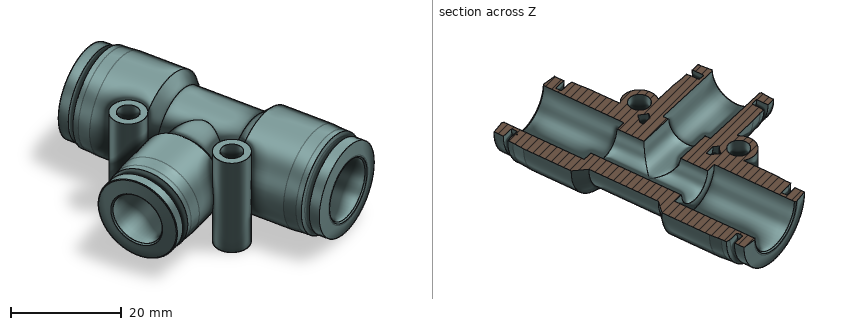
import cadquery as cq


bore_radius = 4.05
mouth_chamfer = 0.3
end_face_rise = 0.15

run_tip = 28.05
run_rim = 27.7
run_collar_back = 25.6
run_body_end = 24.4
run_band_start = 23.1
run_taper_start = 20.6
run_shoulder = 10.05
run_waist_end = 7.7
run_radius = 10.24
run_end_radius = 10.05
run_face_radius = 9.15
run_waist_radius = 8.0
run_collar_radius = 9.5
run_neck_radius = 6.95
run_socket_radius = 6.15
run_lip_width = 0.3
run_mouth_radius = run_socket_radius + mouth_chamfer + run_lip_width

branch_tip = 27.405
branch_rim = 27.15
branch_collar_back = 25.25
branch_body_end = 23.9
branch_band_start = 22.55
branch_taper_start = 20.0
branch_shoulder = 11.8
branch_waist_end = 10.05
branch_radius = 8.75
branch_end_radius = 8.6
branch_face_radius = 7.4
branch_waist_radius = 7.0
branch_collar_radius = 8.4
branch_rim_bevel_width = 0.15
branch_rim_bevel_height = 0.1
branch_neck_radius = 5.9
branch_socket_radius = 5.2
branch_mouth_radius = branch_socket_radius + mouth_chamfer

sleeve_x = 11.0
sleeve_y = -12.45
sleeve_radius = 3.55
sleeve_hole_radius = 2.15
sleeve_height = 2 * run_radius


def revolve_about_y(points):
    """Revolve a (radius, distance) outline about Y; distance runs toward -Y."""
    outline = [(radius, -distance) for radius, distance in points]
    return cq.Workplane("XY").polyline(outline).close().revolve(360, (0, 0), (0, 1))


def port_body(tip, rim, collar_back, body_end, band_start, taper_start, shoulder,
              waist_end, radius, end_radius, face_radius, waist_radius, collar_radius, neck_radius,
              mouth_radius, bevel_width=0, bevel_height=0):
    """Solid port: waist, shoulder cone, body with a tapered end,
    conical end face, neck and release collar.
    """
    collar_edge = [(collar_radius, rim - bevel_height)]
    if bevel_width > 0:
        collar_edge.append((collar_radius - bevel_width, rim))
    return revolve_about_y([
        (0, 0),
        (waist_radius, 0),
        (waist_radius, waist_end),
        (radius, shoulder),
        (radius, taper_start),
        (end_radius, band_start),
        (end_radius, body_end - end_face_rise),
        (face_radius, body_end),
        (neck_radius, body_end),
        (neck_radius, collar_back),
        (collar_radius, collar_back),
        *collar_edge,
        (mouth_radius, tip),
        (0, tip),
    ])


def port_cavity(tip, shoulder, socket_radius):
    """Bore from the tee centre, widening to a tube socket with a chamfered mouth."""
    return revolve_about_y([
        (0, 0),
        (bore_radius, 0),
        (bore_radius, shoulder),
        (socket_radius, shoulder),
        (socket_radius, tip - mouth_chamfer),
        (socket_radius + mouth_chamfer, tip),
        (0, tip),
    ])


def turn_to_run(port, side):
    """Turn a -Y port to +X (side = 1) or -X (side = -1)."""
    return port.rotate((0, 0, 0), (0, 0, 1), side * 90)


run_body = port_body(
    run_tip, run_rim, run_collar_back, run_body_end, run_band_start, run_taper_start,
    run_shoulder, run_waist_end, run_radius, run_end_radius, run_face_radius, run_waist_radius,
    run_collar_radius, run_neck_radius, run_mouth_radius,
)
run_cavity = port_cavity(run_tip, run_shoulder, run_socket_radius)
branch_body = port_body(
    branch_tip, branch_rim, branch_collar_back, branch_body_end, branch_band_start,
    branch_taper_start, branch_shoulder, branch_waist_end, branch_radius, branch_end_radius,
    branch_face_radius, branch_waist_radius, branch_collar_radius, branch_neck_radius, branch_mouth_radius,
    bevel_width=branch_rim_bevel_width, bevel_height=branch_rim_bevel_height,
)
branch_cavity = port_cavity(branch_tip, branch_shoulder, branch_socket_radius)

result = turn_to_run(run_body, 1).union(turn_to_run(run_body, -1)).union(branch_body)

sleeve_centres = [(-sleeve_x, sleeve_y), (sleeve_x, sleeve_y)]
sleeve_plane = cq.Workplane("XY", origin=(0, 0, -run_radius)).pushPoints(sleeve_centres)
result = result.union(sleeve_plane.circle(sleeve_radius).extrude(sleeve_height))
result = result.cut(sleeve_plane.circle(sleeve_hole_radius).extrude(sleeve_height))

for cavity in (turn_to_run(run_cavity, 1), turn_to_run(run_cavity, -1), branch_cavity):
    result = result.cut(cavity)